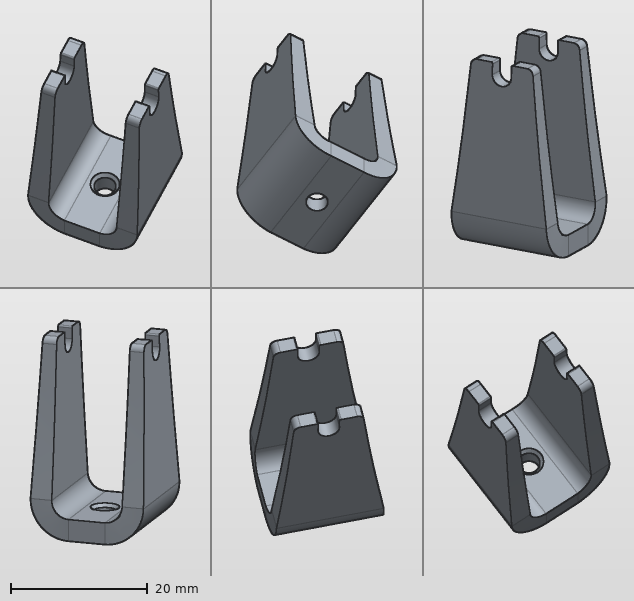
import cadquery as cq
import math

height = 29.83
base_width = 16.7
flat_half = 2.83
bend_outer_radius = 5.95
bend_inner_radius = 2.63
bend_z = bend_outer_radius
floor_thickness = bend_outer_radius - bend_inner_radius
leg_outer_half = flat_half + bend_outer_radius
leg_inner_half = flat_half + bend_inner_radius
tip_outer_half = 7.85
tip_inner_half = 5.67

leg_base_width = 16.1
leg_tip_width = 10.38
leg_side_sag = 0.15
tip_corner_radius = 1.05

slot_width = 3.2
slot_depth = 3.45
slot_edge_radius = 0.25
hole_diameter = 3.2
countersink_diameter = 4.27
countersink_angle = 90

margin = 0.6
bend_steps = 6


def u_profile():
    """Full-width U section, extruded along Y."""
    diagonal = math.sqrt(0.5)
    outer = bend_outer_radius * diagonal
    inner = bend_inner_radius * diagonal
    return (
        cq.Workplane("XZ")
        .moveTo(-flat_half, 0)
        .lineTo(flat_half, 0)
        .threePointArc((flat_half + outer, bend_z - outer), (leg_outer_half, bend_z))
        .lineTo(tip_outer_half, height)
        .lineTo(tip_inner_half, height)
        .lineTo(leg_inner_half, bend_z)
        .threePointArc((flat_half + inner, bend_z - inner), (flat_half, floor_thickness))
        .lineTo(-flat_half, floor_thickness)
        .threePointArc((-flat_half - inner, bend_z - inner), (-leg_inner_half, bend_z))
        .lineTo(-tip_inner_half, height)
        .lineTo(-tip_outer_half, height)
        .lineTo(-leg_outer_half, bend_z)
        .threePointArc((-flat_half - outer, bend_z - outer), (-flat_half, 0))
        .close()
        .extrude(base_width / 2, both=True)
    )


def bend_section(side, step):
    """Radial rectangle across a bend; its width shrinks evenly with the bend angle."""
    fraction = step / bend_steps
    angle = math.radians(90 * fraction)
    half = (base_width + (leg_base_width - base_width) * fraction) / 2
    corners = []
    for radius, y in (
        (bend_inner_radius - margin, -half),
        (bend_outer_radius + margin, -half),
        (bend_outer_radius + margin, half),
        (bend_inner_radius - margin, half),
    ):
        x = side * (flat_half + radius * math.sin(angle))
        corners.append(cq.Vector(x, y, bend_z - radius * math.cos(angle)))
    return cq.Wire.makePolygon(corners, close=True)


def bend_envelope(side):
    sections = [bend_section(side, step) for step in range(bend_steps + 1)]
    return cq.Workplane(obj=cq.Solid.makeLoft(sections))


def leg_envelope():
    """Tapered outline of both legs with slightly bowed sides and rounded tip corners."""
    middle_half = (leg_base_width + leg_tip_width) / 4 - leg_side_sag
    middle_z = (bend_z + height) / 2
    return (
        cq.Workplane("YZ")
        .moveTo(-leg_base_width / 2, bend_z)
        .lineTo(leg_base_width / 2, bend_z)
        .threePointArc((middle_half, middle_z), (leg_tip_width / 2, height))
        .lineTo(-leg_tip_width / 2, height)
        .threePointArc((-middle_half, middle_z), (-leg_base_width / 2, bend_z))
        .close()
        .extrude(leg_outer_half + margin, both=True)
        .edges("|X and >Z")
        .fillet(tip_corner_radius)
    )


def slot_cutter():
    """Round-bottomed slot through both legs, flared by rounded mouth edges."""
    half = slot_width / 2
    bottom = height - slot_depth
    mouth = half + slot_edge_radius
    mouth_start = height - slot_edge_radius
    ease = slot_edge_radius * (1 - math.sqrt(0.5))
    return (
        cq.Workplane("YZ")
        .moveTo(-half, bottom + half)
        .threePointArc((0, bottom), (half, bottom + half))
        .lineTo(half, mouth_start)
        .threePointArc((half + ease, height - ease), (mouth, height))
        .lineTo(-mouth, height)
        .threePointArc((-half - ease, height - ease), (-half, mouth_start))
        .close()
        .extrude(leg_outer_half + margin, both=True)
    )


profile = u_profile()
floor = cq.Workplane("XY").box(2 * flat_half, base_width, floor_thickness, centered=(True, True, False))
body = floor.union(profile.intersect(leg_envelope()))
for side in (-1, 1):
    body = body.union(profile.intersect(bend_envelope(side)))

body = body.cut(slot_cutter())

result = (
    body.copyWorkplane(cq.Workplane("XY", origin=(0, 0, floor_thickness)))
    .cskHole(hole_diameter, countersink_diameter, countersink_angle, depth=floor_thickness)
)